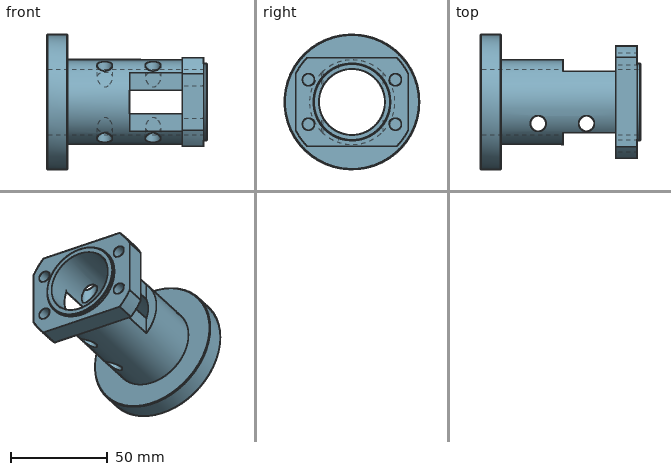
import cadquery as cq

total_length = 83.0
flange_thickness = 10.9
plate_thickness = 11.1
pilot_length = 1.8
plate_end = total_length - pilot_length
plate_start = plate_end - plate_thickness

flange_diameter = 70.0
barrel_diameter = 44.0
pilot_diameter = 40.0
bore_diameter = 34.0
edge_chamfer = 0.4

plate_width = 58.2
plate_height = 46.0
plate_corner_diameter = 65.15
bolt_diameter = 6.2
bolt_spacing_y = 45.0
bolt_spacing_z = 23.0

flat_start = 42.8
flat_half_width = 15.9

cross_hole_diameter = 8.0
cross_hole_first_x = 30.0
cross_hole_count = 2
cross_hole_pitch = 25.0
cross_hole_y = -11.1


def cylinder_along_x(diameter, start, end):
    return cq.Workplane("YZ", origin=(start, 0, 0)).circle(diameter / 2).extrude(end - start)


def mounting_plate():
    plate_plane = cq.Workplane("YZ", origin=(plate_start, 0, 0))
    blank = plate_plane.rect(plate_width, plate_height).extrude(plate_thickness)
    plate = blank.intersect(cylinder_along_x(plate_corner_diameter, plate_start, plate_end))
    bolt_holes = (
        plate_plane
        .rect(bolt_spacing_y, bolt_spacing_z, forConstruction=True)
        .vertices()
        .circle(bolt_diameter / 2)
        .extrude(plate_thickness)
    )
    return plate.cut(bolt_holes)


def barrel_with_flats_and_cross_holes():
    barrel = cylinder_along_x(barrel_diameter, 0, plate_start)
    flat_length = plate_start - flat_start
    flat_depth = barrel_diameter / 2 - flat_half_width
    for side in (-1, 1):
        flat_center = (flat_start + flat_length / 2, side * (flat_half_width + flat_depth / 2), 0)
        flat_cutter = cq.Workplane("XY").box(flat_length, flat_depth, barrel_diameter)
        barrel = barrel.cut(flat_cutter.translate(flat_center))
    cross_holes = (
        cq.Workplane("XY")
        .pushPoints([(cross_hole_first_x + i * cross_hole_pitch, cross_hole_y) for i in range(cross_hole_count)])
        .circle(cross_hole_diameter / 2)
        .extrude(barrel_diameter / 2, both=True)
    )
    return barrel.cut(cross_holes)


flange = cylinder_along_x(flange_diameter, 0, flange_thickness).edges().chamfer(edge_chamfer)
pilot = cylinder_along_x(pilot_diameter, plate_start, total_length).faces(">X").edges().chamfer(edge_chamfer)

body = barrel_with_flats_and_cross_holes().union(flange).union(mounting_plate()).union(pilot)
result = body.cut(cylinder_along_x(bore_diameter, 0, total_length))